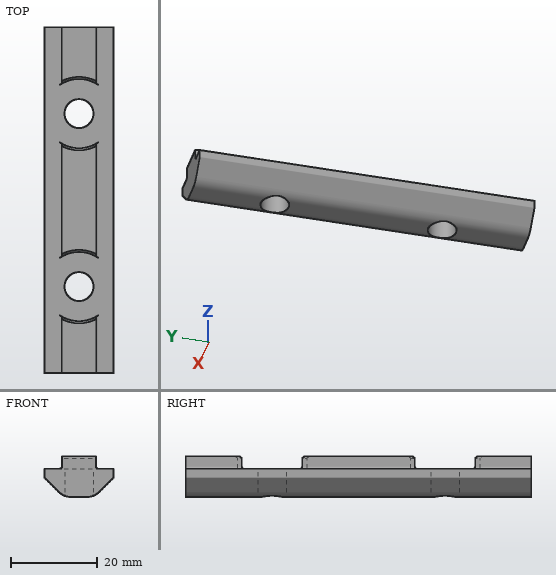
import cadquery as cq
import math

length = 80.0
width = 16.0
height = 9.5

tongue_width = 7.9
tongue_height = 2.9
flank_height = 2.1
slope_angle = 45.0
base_fillet = 4.0
root_fillet = 0.5
edge_break = 0.2

hole_diameter = 6.65
hole_spacing = 40.0
seat_diameter = 16.0
seat_chamfer = 0.5

half_width = width / 2
half_tongue = tongue_width / 2
ledge_z = height - tongue_height
flank_bottom_z = ledge_z - flank_height
half_base = half_width - flank_bottom_z / math.tan(math.radians(slope_angle))
hole_positions = [(0, -hole_spacing / 2), (0, hole_spacing / 2)]


def make_sharp_bar():
    """Extrude the sharp-cornered section along Y, centred on the origin."""
    half_section = [
        (half_base, 0),
        (half_width, flank_bottom_z),
        (half_width, ledge_z),
        (half_tongue, ledge_z),
        (half_tongue, height),
    ]
    mirrored_half = [(-x, z) for x, z in reversed(half_section)]
    section = cq.Workplane("XZ").polyline(half_section + mirrored_half).close()
    return section.extrude(length / 2, both=True)


def fillet_edge_pair(bar, x, z, radius):
    """Fillet the two edges that run along Y at +x and -x at height z."""
    right_edge = bar.edges(cq.NearestToPointSelector((x, 0, z)))
    left_edge = bar.edges(cq.NearestToPointSelector((-x, 0, z)))
    return right_edge.add(left_edge).fillet(radius)


def make_bar():
    """Round the base corners and tongue roots, and break the other long edges."""
    bar = make_sharp_bar()
    bar = fillet_edge_pair(bar, half_base, 0, base_fillet)
    bar = fillet_edge_pair(bar, half_tongue, ledge_z, root_fillet)
    bar = fillet_edge_pair(bar, half_tongue, height, edge_break)
    bar = fillet_edge_pair(bar, half_width, ledge_z, edge_break)
    return fillet_edge_pair(bar, half_width, flank_bottom_z, edge_break)


def make_seat_cutter():
    """Revolve one round seat about Z, flared at the top to chamfer the tongue ends."""
    seat_radius = seat_diameter / 2
    profile = [
        (0, ledge_z),
        (seat_radius, ledge_z),
        (seat_radius, height - seat_chamfer),
        (seat_radius + seat_chamfer, height),
        (0, height),
    ]
    return cq.Workplane("XZ").polyline(profile).close().revolve(360, (0, 0, 0), (0, 1, 0))


def make_hole_cutter():
    """Make the cylinder of one bolt hole through the full height."""
    return cq.Workplane("XY").circle(hole_diameter / 2).extrude(height)


result = make_bar()
for x, y in hole_positions:
    result = result.cut(make_seat_cutter().translate((x, y, 0)))
    result = result.cut(make_hole_cutter().translate((x, y, 0)))